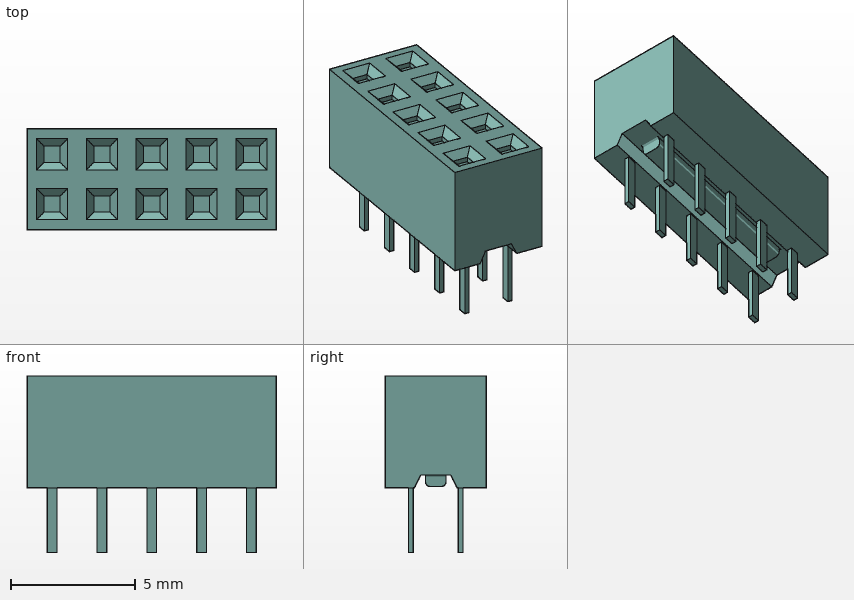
import cadquery as cq
import math

columns = 5
rows = 2
pitch = 2.0

body_length = columns * pitch
body_width = 4.06
body_height = 4.5

channel_depth = 0.51
channel_roof_width = 1.2
channel_mouth_width = 1.71

rib_width = 0.83
rib_drop = 0.46
rib_corner_radius = 0.2
rib_setback = 1.0
rib_root_radius = 0.12
rib_end_draft = 5.0

socket_mouth = 1.25
socket_throat = 0.65
funnel_depth = 0.3
well_depth = 0.2

pin_width = 0.4
pin_thickness = 0.2
pin_length = 2.6


def contact_grid(plane):
    """Place one point per contact, centred on the given workplane."""
    return plane.rarray(pitch, pitch, columns, rows)


def make_body():
    """Plain block standing on Z = 0."""
    return cq.Workplane("XY").box(body_length, body_width, body_height, centered=(True, True, False))


def make_channel():
    """Trapezoidal cutter running the full length of the block."""
    outline = [
        (-channel_mouth_width / 2, 0),
        (-channel_roof_width / 2, channel_depth),
        (channel_roof_width / 2, channel_depth),
        (channel_mouth_width / 2, 0),
    ]
    return cq.Workplane("YZ").polyline(outline).close().extrude(body_length / 2, both=True)


def make_rib():
    """Rib with drafted ends that flare into the channel roof, and rounded lower side edges."""
    draft = math.radians(rib_end_draft)
    root_x = body_length / 2 - rib_setback
    rib_bottom = channel_depth - rib_drop

    flare_x = root_x - rib_root_radius * math.cos(draft)
    flare_z = channel_depth - rib_root_radius * (1 - math.sin(draft))
    bottom_x = flare_x - (flare_z - rib_bottom) * math.tan(draft)

    rib = (
        cq.Workplane("XZ")
        .moveTo(-root_x, channel_depth)
        .lineTo(root_x, channel_depth)
        .radiusArc((flare_x, flare_z), -rib_root_radius)
        .lineTo(bottom_x, rib_bottom)
        .lineTo(-bottom_x, rib_bottom)
        .lineTo(-flare_x, flare_z)
        .radiusArc((-root_x, channel_depth), -rib_root_radius)
        .close()
        .extrude(rib_width / 2, both=True)
    )
    return rib.edges("<Z and |X").fillet(rib_corner_radius)


def make_sockets():
    """Cutters for all sockets, open at the top face."""
    funnel = (
        cq.Workplane("XY")
        .rect(socket_mouth, socket_mouth)
        .workplane(offset=-funnel_depth)
        .rect(socket_throat, socket_throat)
        .loft(ruled=True)
    )
    well = funnel.faces("<Z").workplane().rect(socket_throat, socket_throat).extrude(well_depth)
    cutter = well.val()
    top = cq.Workplane("XY").workplane(offset=body_height)
    return contact_grid(top).eachpoint(lambda place: cutter.moved(place), combine=False)


def make_pins():
    """Flat pins below the block, running up to the channel roof so that each is fully joined."""
    roof_level = cq.Workplane("XY").workplane(offset=channel_depth)
    return contact_grid(roof_level).rect(pin_width, pin_thickness).extrude(-(channel_depth + pin_length))


result = make_body().cut(make_channel()).union(make_rib())
result = result.union(make_pins()).cut(make_sockets())